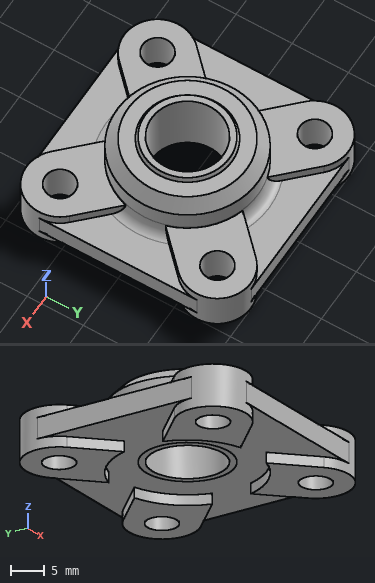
import cadquery as cq
import math

side = 40.0
lug_radius = 6.0
bolt_offset = side / 2 - lug_radius
bolt_diameter = 5.3
lug_height = 7.0
plate_bottom = 1.75
plate_top = 5.3

hub_radius = 12.5
hub_fillet = 2.0
hub_chamfer = 2.0
hub_top = 12.6

ball_top = 13.2
ball_end_radius = 7.5
bore_diameter = 12.7
ball_half_width = (ball_top - plate_bottom) / 2
ball_center = plate_bottom + ball_half_width
ball_radius = math.hypot(ball_end_radius, ball_half_width)


def make_sphere():
    """The ball's spherical surface, which also shapes its seat."""
    return cq.Workplane("XY").sphere(ball_radius).translate((0, 0, ball_center))


def make_plate():
    """Square plate whose cut corners lie inside the lugs."""
    return (
        cq.Workplane("XY", origin=(0, 0, plate_bottom))
        .rect(side, side)
        .extrude(plate_top - plate_bottom)
        .edges("|Z")
        .chamfer(lug_radius)
    )


def make_diagonal_bar(angle):
    """Bar joining two opposite corners; its round ends are a pair of lugs."""
    length = 2 * (bolt_offset * math.sqrt(2) + lug_radius)
    return (
        cq.Workplane("XY")
        .transformed(rotate=(0, 0, angle))
        .slot2D(length, 2 * lug_radius)
        .extrude(lug_height)
    )


def make_hub():
    """Revolved hub with a concave foot and a chamfered top edge."""
    fillet_top = plate_top + hub_fillet
    foot_radius = hub_radius + hub_fillet
    arc_middle = (
        foot_radius - hub_fillet * math.sqrt(0.5),
        fillet_top - hub_fillet * math.sqrt(0.5),
    )
    return (
        cq.Workplane("XZ")
        .moveTo(0, plate_bottom)
        .lineTo(foot_radius, plate_bottom)
        .lineTo(foot_radius, plate_top)
        .threePointArc(arc_middle, (hub_radius, fillet_top))
        .lineTo(hub_radius, hub_top - hub_chamfer)
        .lineTo(hub_radius - hub_chamfer, hub_top)
        .lineTo(0, hub_top)
        .close()
        .revolve(360, (0, 0), (0, 1))
    )


def make_housing():
    body = make_plate()
    for angle in (45, -45):
        body = body.union(make_diagonal_bar(angle))
    recess = cq.Workplane("XY").circle(hub_radius).extrude(plate_bottom)
    bolt_holes = (
        cq.Workplane("XY")
        .rect(2 * bolt_offset, 2 * bolt_offset, forConstruction=True)
        .vertices()
        .circle(bolt_diameter / 2)
        .extrude(lug_height)
    )
    return body.union(make_hub()).cut(recess).cut(bolt_holes).cut(make_sphere())


def make_ball():
    """Sphere cut flat at both ends, with a straight bore."""
    ring = (
        cq.Workplane("XY", origin=(0, 0, plate_bottom))
        .circle(ball_radius)
        .circle(bore_diameter / 2)
        .extrude(2 * ball_half_width)
    )
    return make_sphere().intersect(ring)


housing = make_housing()
ball = make_ball()

result = cq.Compound.makeCompound([housing.val(), ball.val()])